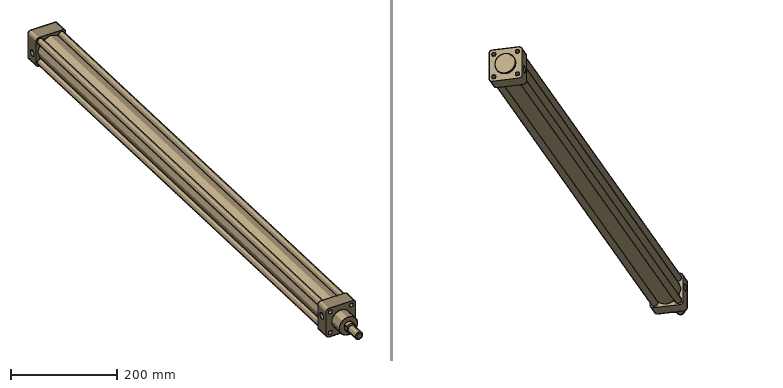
import cadquery as cq
import math


STROKE_LENGTH = 1000.0
STROKELESS_LENGTH = 106.0
CAP_SIZE = 65.0
CAP_LENGTH = 30.0
CAP_CORNER_RADIUS = 6.5
COLLAR_DIAMETER = 40.0
REAR_COLLAR_LENGTH = 4.0
FRONT_COLLAR_LENGTH = 28.0

BOLT_SPACING = 46.5
BOLT_HOLE_DIAMETER = 8.0
BOLT_HOLE_DEPTH = 16.0

PORT_DIAMETER = 13.0
PORT_DEPTH = 12.0
PORT_OFFSET_Z = 8.5
PORT_FROM_TUBE = 14.0

BARREL_RADIUS = 27.3
LOBE_RADIUS = 6.5
RIB_COUNT = 4
RIB_RADIUS = 10.0
RIB_HALF_WIDTH = 5.3

ROD_DIAMETER = 20.0
ACROSS_FLATS = 17.0
TAPER_START = 37.0
THREAD_START = 40.0
THREAD_END = 69.0
THREAD_DIAMETER = 16.0
THREAD_CHAMFER = 2.0

rear_face_x = REAR_COLLAR_LENGTH
front_face_x = rear_face_x + STROKELESS_LENGTH + STROKE_LENGTH
tube_start_x = rear_face_x + CAP_LENGTH
tube_end_x = front_face_x - CAP_LENGTH
tube_length = tube_end_x - tube_start_x
rod_start_x = front_face_x + FRONT_COLLAR_LENGTH
shank_length = THREAD_START - FRONT_COLLAR_LENGTH

bolt_offset = BOLT_SPACING / 2
corner_points = [(y, z) for y in (-bolt_offset, bolt_offset) for z in (-bolt_offset, bolt_offset)]


def section_at(x):
    """Cross-section plane at x, facing +X, with local axes along Y and Z."""
    return cq.Workplane("YZ", origin=(x, 0, 0))


def cap_block(x):
    block = section_at(x).rect(CAP_SIZE, CAP_SIZE).extrude(CAP_LENGTH)
    return block.edges("|X").fillet(CAP_CORNER_RADIUS)


def collar(x, length):
    return section_at(x).circle(COLLAR_DIAMETER / 2).extrude(length)


def bolt_holes(x):
    return section_at(x).pushPoints(corner_points).circle(BOLT_HOLE_DIAMETER / 2).extrude(BOLT_HOLE_DEPTH)


def port(x, z):
    """Blind round port sunk into the -Y side of a cap."""
    mouth = cq.Workplane("XZ", origin=(x, -CAP_SIZE / 2, z)).circle(PORT_DIAMETER / 2)
    return mouth.extrude(-PORT_DEPTH)


def make_rear_cap():
    cap = cap_block(rear_face_x).union(collar(0, REAR_COLLAR_LENGTH))
    cap = cap.cut(bolt_holes(rear_face_x))
    return cap.cut(port(tube_start_x - PORT_FROM_TUBE, -PORT_OFFSET_Z))


def make_front_cap():
    cap = cap_block(tube_end_x).union(collar(front_face_x, FRONT_COLLAR_LENGTH))
    cap = cap.cut(bolt_holes(front_face_x - BOLT_HOLE_DEPTH))
    return cap.cut(port(tube_end_x + PORT_FROM_TUBE, PORT_OFFSET_Z))


def make_tube():
    """Round barrel with a lobe at each corner and a low rounded rib along each side."""
    barrel = section_at(tube_start_x).circle(BARREL_RADIUS).extrude(tube_length)
    lobes = section_at(tube_start_x).pushPoints(corner_points).circle(LOBE_RADIUS).extrude(tube_length)

    barrel_height = math.sqrt(BARREL_RADIUS**2 - RIB_HALF_WIDTH**2)
    rib_height = math.sqrt(RIB_RADIUS**2 - RIB_HALF_WIDTH**2)
    rib_centers = section_at(tube_start_x).polarArray(barrel_height - rib_height, 0, 360, RIB_COUNT)
    ribs = rib_centers.circle(RIB_RADIUS).extrude(tube_length)
    return barrel.union(lobes).union(ribs)


def make_rod():
    """Shank with wrench flats facing -Y and +Y, tapering to a thread of smaller diameter."""
    rod_radius = ROD_DIAMETER / 2
    thread_radius = THREAD_DIAMETER / 2
    half_profile = (
        cq.Workplane("XZ")
        .moveTo(rod_start_x, 0)
        .lineTo(rod_start_x, rod_radius)
        .lineTo(front_face_x + TAPER_START, rod_radius)
        .lineTo(front_face_x + THREAD_START, thread_radius)
        .lineTo(front_face_x + THREAD_START, 0)
        .close()
    )
    shank = half_profile.revolve(360, (0, 0, 0), (1, 0, 0))
    flats = section_at(rod_start_x).rect(ACROSS_FLATS, ROD_DIAMETER).extrude(shank_length)

    thread = section_at(front_face_x + THREAD_START).circle(thread_radius).extrude(THREAD_END - THREAD_START)
    thread = thread.faces(">X").chamfer(THREAD_CHAMFER)
    return shank.intersect(flats).union(thread)


bodies = [make_rear_cap(), make_front_cap(), make_tube(), make_rod()]

result = cq.Compound.makeCompound([body.solids().val() for body in bodies])